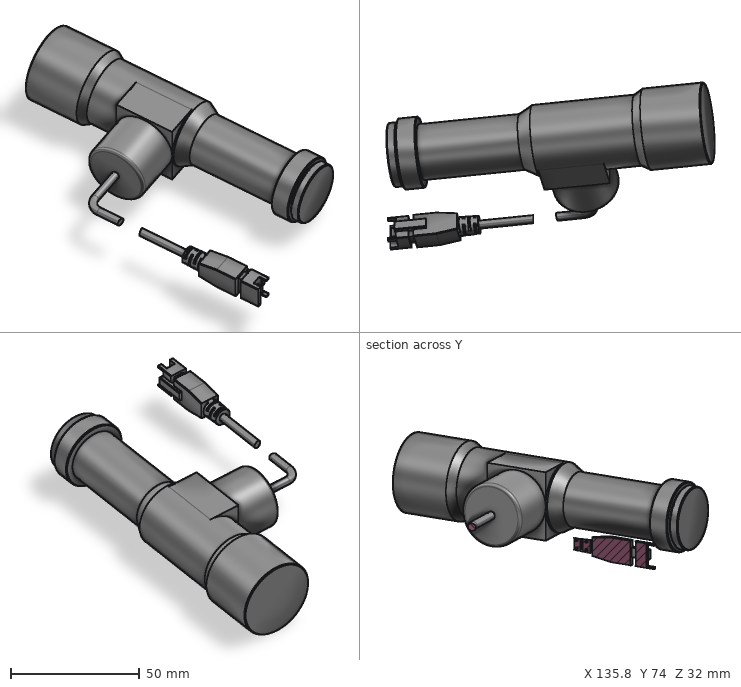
import cadquery as cq
import math


HEAD_RADIUS = 16.0
HEAD_END = 23.9
HEAD_CONE_END = 27.4
MIDDLE_RADIUS = 14.0
MIDDLE_END = 67.9
TUBE_CONE_END = 73.3
TUBE_RADIUS = 11.0
FLANGE_START = 113.3
FLANGE_END = 121.1
FLANGE_RADIUS = MIDDLE_RADIUS
GROOVE_RADIUS = 12.0
GROOVE_END = 121.8
COLLAR_RADIUS = 12.6
COLLAR_END = 125.1
EDGE_CHAMFER = 0.4

BOSS_X = 54.2
BOSS_WIDTH = 26.0
BOSS_RADIUS = BOSS_WIDTH / 2
BOSS_FACE_Y = -34.4
BOSS_EDGE_FILLET = 1.2

CABLE_RADIUS = 1.6
CABLE_Y = -53.8
BEND_RADIUS = 4.9
LEAD_END = 69.3
TAIL_START = 78.8
CUT_ANGLE = 10

RELIEF_START = 100.2
RELIEF_START_RADIUS = 3.5
RELIEF_END_RADIUS = 3.8
RELIEF_WEB = 2.7
SLOT_COUNT = 4
SLOT_WIDTH = 0.8
SLOT_PITCH = 2.2
FIRST_SLOT = 101.0

PLUG_START = 108.4
PLUG_TAPER_END = 116.5
PLUG_END = 125.5
PLUG_WIDTH = 8.4
PLUG_HEIGHT = 10.2
PLUG_START_HEIGHT = 7.6
PLUG_CHAMFER = 0.3

NECK_WIDTH = 4.3
NECK_HEIGHT = 7.6
BLOCK_START = 127.7
BLOCK_END = 135.8
BLOCK_WIDTH = 7.7
BLOCK_HEIGHT = PLUG_HEIGHT
FORK_ROOT = 132.5
FORK_GAP = 4.1
PRONG_HEIGHT = 0.7
TONGUE_END = 135.0
TONGUE_THICKNESS = 0.3
TONGUE_HEIGHT = 4.1
TONGUE_OFFSET = 0.7

LATCH_START = 120.5
LATCH_END = 132.8
LATCH_TOP_Y = -48.3
LATCH_THICKNESS = 1.9
LATCH_HEIGHT = 4.0


def box(x_start, x_end, y_start, y_end, height):
    """Box between two X and two Y limits, centred on Z = 0."""
    return cq.Workplane("XY").box(x_end - x_start, y_end - y_start, height).translate(
        ((x_start + x_end) / 2, (y_start + y_end) / 2, 0)
    )


def cable_box(x_start, x_end, width, height):
    """Box centred on the cable axis."""
    return box(x_start, x_end, CABLE_Y - width / 2, CABLE_Y + width / 2, height)


def x_cylinder(x_start, x_end, radius):
    """Cylinder on the cable axis."""
    return cq.Workplane("YZ", origin=(x_start, CABLE_Y, 0)).circle(radius).extrude(x_end - x_start)



def barrel():
    profile = [
        (0, 0),
        (0, HEAD_RADIUS - EDGE_CHAMFER),
        (EDGE_CHAMFER, HEAD_RADIUS),
        (HEAD_END, HEAD_RADIUS),
        (HEAD_CONE_END, MIDDLE_RADIUS),
        (MIDDLE_END, MIDDLE_RADIUS),
        (TUBE_CONE_END, TUBE_RADIUS),
        (FLANGE_START, TUBE_RADIUS),
        (FLANGE_START, FLANGE_RADIUS - EDGE_CHAMFER),
        (FLANGE_START + EDGE_CHAMFER, FLANGE_RADIUS),
        (FLANGE_END - EDGE_CHAMFER, FLANGE_RADIUS),
        (FLANGE_END, FLANGE_RADIUS - EDGE_CHAMFER),
        (FLANGE_END, GROOVE_RADIUS),
        (GROOVE_END, GROOVE_RADIUS),
        (GROOVE_END, COLLAR_RADIUS),
        (COLLAR_END - EDGE_CHAMFER, COLLAR_RADIUS),
        (COLLAR_END, COLLAR_RADIUS - EDGE_CHAMFER),
        (COLLAR_END, 0),
    ]
    return cq.Workplane("XY").polyline(profile).close().revolve(360, (0, 0, 0), (1, 0, 0))


def side_boss():
    block = box(BOSS_X - BOSS_WIDTH / 2, BOSS_X + BOSS_WIDTH / 2, -MIDDLE_RADIUS, 0, 2 * MIDDLE_RADIUS)
    stub = cq.Workplane("XZ", origin=(BOSS_X, 0, 0)).circle(BOSS_RADIUS).extrude(-BOSS_FACE_Y)
    return block.union(stub.faces("<Y").edges().fillet(BOSS_EDGE_FILLET))


housing = barrel().union(side_boss())


def cut_block(x, angle, side):
    """Block whose slanted face crosses the cable axis at x; side is +1 or -1 for the block's X side."""
    size = 4 * CABLE_RADIUS
    block = cq.Workplane("XY").box(size, size, size).translate((side * size / 2, 0, 0))
    return block.rotate((0, 0, 0), (0, 0, 1), angle).translate((x, CABLE_Y, 0))



def cable_lead():
    bend_start = (BOSS_X, CABLE_Y + BEND_RADIUS)
    mid_offset = BEND_RADIUS * (1 - math.sqrt(0.5))
    bend_middle = (BOSS_X + mid_offset, CABLE_Y + mid_offset)
    bend_end = (BOSS_X + BEND_RADIUS, CABLE_Y)
    path = (
        cq.Workplane("XY")
        .moveTo(BOSS_X, BOSS_FACE_Y)
        .lineTo(*bend_start)
        .threePointArc(bend_middle, bend_end)
        .lineTo(LEAD_END + CABLE_RADIUS, CABLE_Y)
    )
    lead = cq.Workplane("XZ", origin=(BOSS_X, BOSS_FACE_Y, 0)).circle(CABLE_RADIUS).sweep(path)
    return lead.cut(cut_block(LEAD_END, -CUT_ANGLE, 1))


lead = cable_lead()



def cable_tail():
    tail = x_cylinder(TAIL_START - CABLE_RADIUS, RELIEF_START, CABLE_RADIUS)
    return tail.cut(cut_block(TAIL_START, CUT_ANGLE, -1))


def strain_relief():
    profile = [
        (RELIEF_START, 0),
        (RELIEF_START, RELIEF_START_RADIUS),
        (PLUG_START, RELIEF_END_RADIUS),
        (PLUG_START, 0),
    ]
    relief = (
        cq.Workplane("XY").polyline(profile).close()
        .revolve(360, (0, 0, 0), (1, 0, 0)).translate((0, CABLE_Y, 0))
    )
    diameter = 2 * RELIEF_END_RADIUS
    for i in range(SLOT_COUNT):
        start = FIRST_SLOT + i * SLOT_PITCH
        ring = cable_box(start, start + SLOT_WIDTH, diameter, diameter)
        if i % 2 == 0:
            web = cable_box(start, start + SLOT_WIDTH, diameter, RELIEF_WEB)
        else:
            web = cable_box(start, start + SLOT_WIDTH, RELIEF_WEB, diameter)
        relief = relief.cut(ring.cut(web))
    return relief


def plug_body():
    half_height = PLUG_HEIGHT / 2
    half_start_height = PLUG_START_HEIGHT / 2
    outline = [
        (PLUG_START, -half_start_height),
        (PLUG_START, half_start_height),
        (PLUG_TAPER_END, half_height),
        (PLUG_END, half_height),
        (PLUG_END, -half_height),
        (PLUG_TAPER_END, -half_height),
    ]
    body = (
        cq.Workplane("XZ", origin=(0, CABLE_Y + PLUG_WIDTH / 2, 0))
        .polyline(outline).close().extrude(PLUG_WIDTH)
    )
    return body.faces("<Y or >Y").edges("not |Z").chamfer(PLUG_CHAMFER)


def contact_block():
    block = cable_box(BLOCK_START, BLOCK_END, BLOCK_WIDTH, BLOCK_HEIGHT).edges("|X").chamfer(PLUG_CHAMFER)
    fork_gap = cable_box(FORK_ROOT, BLOCK_END, FORK_GAP, BLOCK_HEIGHT)
    prong_gap = box(FORK_ROOT, BLOCK_END, CABLE_Y, CABLE_Y + BLOCK_WIDTH / 2, BLOCK_HEIGHT - 2 * PRONG_HEIGHT)
    tongue = cable_box(FORK_ROOT, TONGUE_END, TONGUE_THICKNESS, TONGUE_HEIGHT).translate((0, TONGUE_OFFSET, 0))
    neck = cable_box(PLUG_END, BLOCK_START, NECK_WIDTH, NECK_HEIGHT)
    return block.cut(fork_gap).cut(prong_gap).union(tongue).union(neck)


def latch():
    plate = box(LATCH_START, LATCH_END, LATCH_TOP_Y - LATCH_THICKNESS, LATCH_TOP_Y, LATCH_HEIGHT)
    return plate.faces(">Y").edges("|X").chamfer(PLUG_CHAMFER)


plug = cable_tail().union(strain_relief()).union(plug_body()).union(contact_block()).union(latch())

result = cq.Compound.makeCompound([housing.val(), lead.val(), plug.val()])